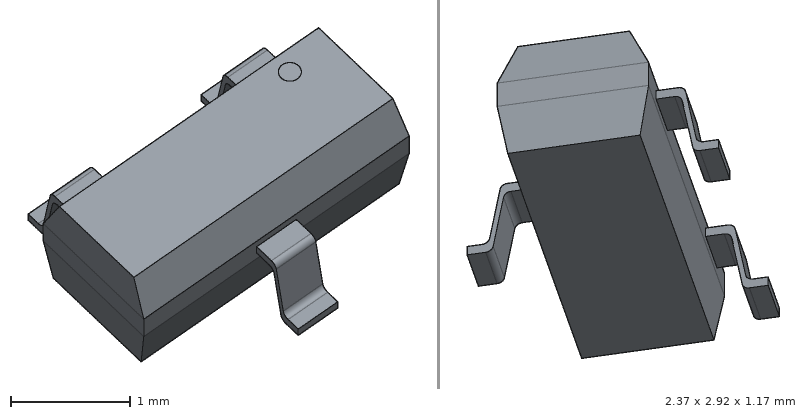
import cadquery as cq
import math

body_length = 2.92
body_width = 1.3
standoff = 0.05
band_bottom = 0.535
band_top = 0.783
body_top = 1.17
top_side_inset = 0.17
top_end_inset = 0.035
bottom_side_inset = 0.082
bottom_end_inset = 0.04

mark_diameter = 0.193
mark_depth = 0.0015
mark_x = -0.29
mark_y = 2.405 - body_length / 2

lead_span = 2.37
lead_width = 0.435
lead_thickness = 0.09
lead_top = 0.705
outer_pair_pitch = 1.9
foot_length = 0.185
web_thickness = 0.047
web_lean = 10.0
shoulder_radius = 0.065
foot_radius = 0.065


def make_taper(start_z, end_z, side_inset, end_inset):
    """Frustum from the full body outline at start_z to the inset outline at end_z."""
    return (
        cq.Workplane("XY", origin=(0, 0, start_z))
        .rect(body_width, body_length)
        .workplane(offset=end_z - start_z)
        .rect(body_width - 2 * side_inset, body_length - 2 * end_inset)
        .loft(ruled=True)
    )


def make_housing():
    band = (
        cq.Workplane("XY", origin=(0, 0, band_bottom))
        .rect(body_width, body_length)
        .extrude(band_top - band_bottom)
    )
    upper = make_taper(band_top, body_top, top_side_inset, top_end_inset)
    lower = make_taper(band_bottom, standoff, bottom_side_inset, bottom_end_inset)
    mark = (
        cq.Workplane("XY", origin=(mark_x, mark_y, body_top - mark_depth))
        .circle(mark_diameter / 2)
        .extrude(mark_depth)
    )
    return band.union(upper).union(lower).cut(mark)


def make_lead(side, center_y):
    """Lead touching the housing wall; side is -1 for the -X side and +1 for the +X side."""
    tip_x = lead_span / 2
    wall_x = body_width / 2
    lean = math.tan(math.radians(web_lean))

    def web_outer_x(z):
        return tip_x - foot_length - (z - lead_thickness) * lean

    def web_inner_x(z):
        return web_outer_x(z) - web_thickness

    shoulder_bottom = lead_top - lead_thickness
    profile = [
        (wall_x, lead_top),
        (web_outer_x(lead_top), lead_top),
        (web_outer_x(lead_thickness), lead_thickness),
        (tip_x, lead_thickness),
        (tip_x, 0),
        (web_inner_x(0), 0),
        (web_inner_x(shoulder_bottom), shoulder_bottom),
        (wall_x, shoulder_bottom),
    ]
    lead = (
        cq.Workplane("XZ", origin=(0, center_y, 0))
        .polyline([(side * x, z) for x, z in profile])
        .close()
        .extrude(lead_width / 2, both=True)
    )

    def bend_edges(corners):
        """Pick the bend edges through the given (x, z) corners."""
        selector = None
        for x, z in corners:
            nearest = cq.selectors.NearestToPointSelector((side * x, center_y, z))
            selector = nearest if selector is None else selector + nearest
        return selector

    shoulder_corners = [profile[1], profile[6]]
    foot_corners = [profile[2], profile[5]]
    lead = lead.edges("|Y").edges(bend_edges(shoulder_corners)).fillet(shoulder_radius)
    return lead.edges("|Y").edges(bend_edges(foot_corners)).fillet(foot_radius)


housing = make_housing()
lead_places = [
    (-1, -outer_pair_pitch / 2),
    (-1, outer_pair_pitch / 2),
    (1, 0),
]
leads = [make_lead(side, center_y) for side, center_y in lead_places]

result = cq.Compound.makeCompound([housing.val(), *[lead.val() for lead in leads]])